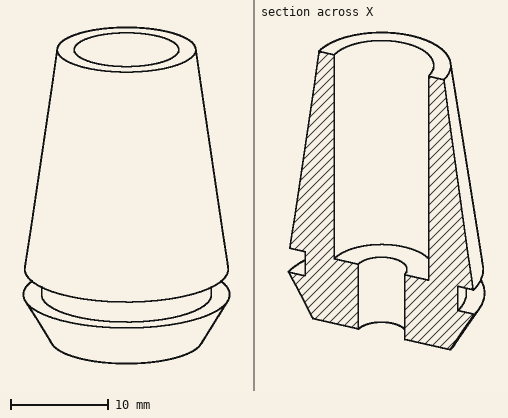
import cadquery as cq
import math

height = 31.5
collar_top = 4.85
groove_top = 7.62

collar_diameter = 21.3
groove_diameter = 17.5
body_diameter = 21.0
bore_diameter = 5.25
counterbore_diameter = 10.77

body_taper = 8.0
collar_taper = 30.0

counterbore_depth = height - groove_top


def tapered_radius(base_diameter, length, half_angle):
    """Radius at the narrow end of a cone of the given length."""
    return base_diameter / 2 - length * math.tan(math.radians(half_angle))


bottom_radius = tapered_radius(collar_diameter, collar_top, collar_taper)
top_radius = tapered_radius(body_diameter, height - groove_top, body_taper)

outer_profile = [
    (0, 0),
    (bottom_radius, 0),
    (collar_diameter / 2, collar_top),
    (groove_diameter / 2, collar_top),
    (groove_diameter / 2, groove_top),
    (body_diameter / 2, groove_top),
    (top_radius, height),
    (0, height),
]
body = cq.Workplane("XZ").polyline(outer_profile).close().revolve(360, (0, 0), (0, 1))

result = (
    body.faces(">Z")
    .workplane()
    .cboreHole(bore_diameter, counterbore_diameter, counterbore_depth)
)